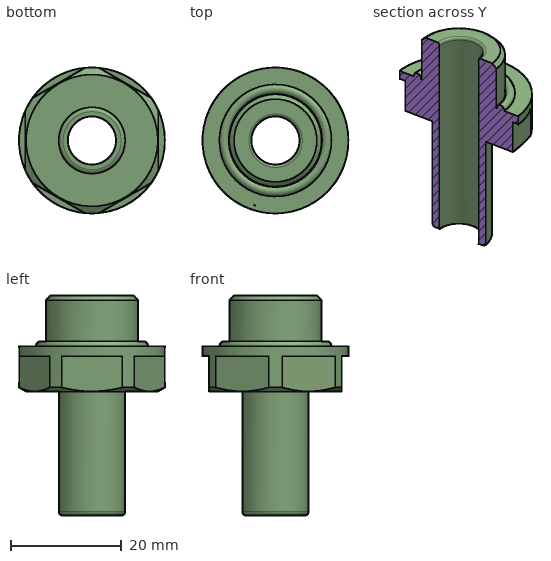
import cadquery as cq
import math

total_height = 39.8

spigot_diameter = 12.0
spigot_length = 22.4
spigot_end_radius = 0.75

flange_diameter = 26.4
flange_thickness = 1.8
hex_across_flats = 24.0
hex_sides = 6
half_corner_angle = 180 / hex_sides
hex_height = 6.4
hex_chamfer_angle = 30.0
hex_bottom_diameter = 23.8

stud_diameter = 16.66
stud_tip_diameter = 14.95

ring_outer_diameter = 20.26
ring_inner_diameter = 16.86
ring_height = 0.9

bore_diameter = 8.65
bore_edge_radius = 0.5

hex_bottom = spigot_length
flange_bottom = hex_bottom + hex_height
flange_top = flange_bottom + flange_thickness


def disc(diameter, bottom, top):
    """Cylinder about the Z axis between two levels."""
    return cq.Workplane("XY").workplane(offset=bottom).circle(diameter / 2).extrude(top - bottom)


def make_spigot():
    return disc(spigot_diameter, 0, hex_bottom).faces("<Z").edges().fillet(spigot_end_radius)


def make_hexagon():
    """Hexagon with flats facing +X and -X, its corners turned down and its lower edge chamfered."""
    across_corners = hex_across_flats / math.cos(math.radians(half_corner_angle))
    prism = (
        cq.Workplane("XY")
        .workplane(offset=hex_bottom)
        .polygon(hex_sides, across_corners)
        .extrude(hex_height)
        .rotate((0, 0, 0), (0, 0, 1), half_corner_angle)
    )
    chamfer_width = (flange_diameter - hex_bottom_diameter) / 2
    chamfer_height = chamfer_width * math.tan(math.radians(hex_chamfer_angle))
    turned_blank = (
        disc(flange_diameter, hex_bottom, flange_bottom)
        .faces("<Z")
        .edges()
        .chamfer(chamfer_height, chamfer_width)
    )
    return prism.intersect(turned_blank)


def make_stud():
    tip_chamfer = (stud_diameter - stud_tip_diameter) / 2
    return disc(stud_diameter, flange_top, total_height).faces(">Z").edges().chamfer(tip_chamfer)


def make_sealing_ring():
    """Ring of round section, sunk into the flange so that only ring_height stands proud."""
    section_radius = (ring_outer_diameter - ring_inner_diameter) / 4
    centre_radius = (ring_outer_diameter + ring_inner_diameter) / 4
    centre_level = flange_top + ring_height - section_radius
    torus = cq.Solid.makeTorus(centre_radius, section_radius, cq.Vector(0, 0, centre_level))
    return cq.Workplane("XY").add(torus)


def cut_bore(body):
    """Through bore with a rounded edge at the stud end."""
    bored = body.cut(disc(bore_diameter, 0, total_height))
    return bored.faces(">Z").edges(cq.selectors.RadiusNthSelector(0)).fillet(bore_edge_radius)


flange = disc(flange_diameter, flange_bottom, flange_top)
body = make_spigot().union(make_hexagon()).union(flange).union(make_stud())
result = cut_bore(body).union(make_sealing_ring())